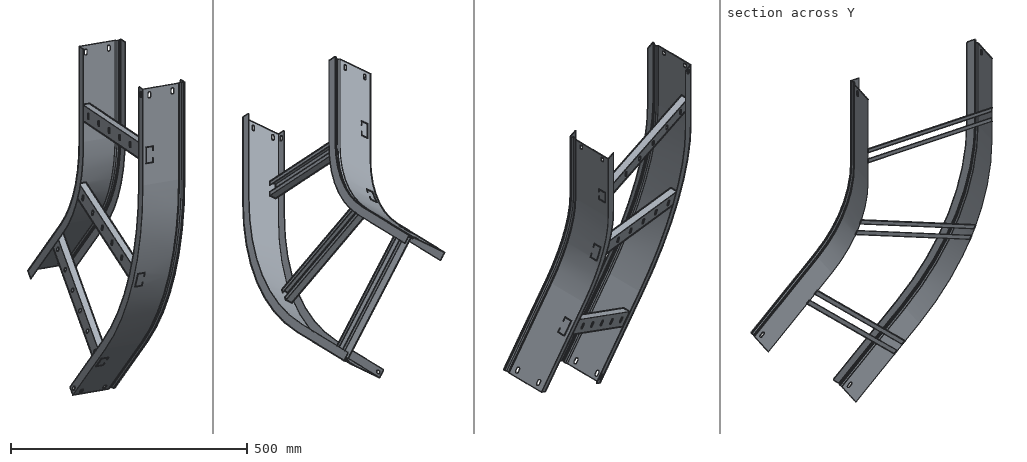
import cadquery as cq
import math

TOTAL_HEIGHT = 795.0
BEND_ANGLE = 45.0
INNER_RADIUS = 300.0
LADDER_WIDTH = 300.5
OUTER_RADIUS = INNER_RADIUS + LADDER_WIDTH
MIDDLE_RADIUS = (INNER_RADIUS + OUTER_RADIUS) / 2
SIN_BEND = math.sin(math.radians(BEND_ANGLE))
COS_BEND = math.cos(math.radians(BEND_ANGLE))
STRAIGHT_LENGTH = (TOTAL_HEIGHT - OUTER_RADIUS * SIN_BEND) / (1 + COS_BEND)

SHEET = 1.2
RAIL_HEIGHT = 100.0
FLANGE_WIDTH = 20.0
HALF_HEIGHT = RAIL_HEIGHT / 2
GROOVE_EDGE = 4.0
GROOVE_WIDTH = 10.0
GROOVE_DEPTH = 3.0
BEND_SHIFT = SHEET * math.tan(math.radians(45 / 2))
TIP_CHAMFER = 2.0

SLOT_WIDTH = 6.0
SLOT_LENGTH = 13.5
SLOT_END_DISTANCE = 15.0
SLOT_Z = STRAIGHT_LENGTH - SLOT_END_DISTANCE
WEB_SLOT_OFFSETS = (-34.0, 21.0)
FLANGE_SLOT_INSET = 9.5

RUNG_HEIGHT = 37.0
RUNG_DEPTH = 17.5
RUNG_LIP = 10.0
RUNG_FRONT = 8.0
RUNG_END_DISTANCE = 150.0
RUNG_SLOTS = 6
RUNG_SLOT_PITCH = 49.0
RUNG_SHIFT = STRAIGHT_LENGTH - RUNG_END_DISTANCE
RUNG_STATIONS = ((0, RUNG_SHIFT), (BEND_ANGLE / 2, 0), (BEND_ANGLE, -RUNG_SHIFT))


def turn(shape, angle):
    """Turn a shape about the bend axis, downward along the ladder."""
    return shape.rotate((0, 0, 0), (0, 1, 0), angle)


def rail_section(radius, inward):
    """Sheet section of a rail; inward is +1 or -1 along X, from web to flange tips."""
    groove_start = HALF_HEIGHT - GROOVE_EDGE
    groove_end = groove_start - GROOVE_WIDTH
    floor_start = groove_start - GROOVE_DEPTH
    floor_end = groove_end + GROOVE_DEPTH
    outward_side = [
        (FLANGE_WIDTH, -HALF_HEIGHT),
        (0, -HALF_HEIGHT),
        (0, groove_end),
        (GROOVE_DEPTH, floor_end),
        (GROOVE_DEPTH, floor_start),
        (0, groove_start),
        (0, HALF_HEIGHT),
        (FLANGE_WIDTH, HALF_HEIGHT),
    ]
    inward_side = [
        (FLANGE_WIDTH, HALF_HEIGHT - SHEET),
        (SHEET, HALF_HEIGHT - SHEET),
        (SHEET, groove_start + BEND_SHIFT),
        (GROOVE_DEPTH + SHEET, floor_start + BEND_SHIFT),
        (GROOVE_DEPTH + SHEET, floor_end - BEND_SHIFT),
        (SHEET, groove_end - BEND_SHIFT),
        (SHEET, SHEET - HALF_HEIGHT),
        (FLANGE_WIDTH, SHEET - HALF_HEIGHT),
    ]
    points = [(radius + inward * depth, y) for depth, y in outward_side + inward_side]
    return cq.Workplane("XY").polyline(points).close()


def web_slots(radius, z):
    """Cutters for the pair of slots through a web, long along Z."""
    return (
        cq.Workplane("YZ", origin=(radius, 0, z))
        .pushPoints([(y, 0) for y in WEB_SLOT_OFFSETS])
        .slot2D(SLOT_LENGTH, SLOT_WIDTH, 90)
        .extrude(2 * SHEET, both=True)
    )


def flange_slot(z):
    """Cutter for the slot through the -Y flange of the outer rail, long along Z."""
    return (
        cq.Workplane("XZ", origin=(OUTER_RADIUS - FLANGE_SLOT_INSET, -HALF_HEIGHT, z))
        .slot2D(SLOT_LENGTH, SLOT_WIDTH, 90)
        .extrude(2 * SHEET, both=True)
    )


def tip_corner(z):
    """Cutter for the end corners of both outer rail flanges, at the end with height z."""
    diamond = [(-TIP_CHAMFER, 0), (0, TIP_CHAMFER), (TIP_CHAMFER, 0), (0, -TIP_CHAMFER)]
    return (
        cq.Workplane("XZ", origin=(OUTER_RADIUS - FLANGE_WIDTH, 0, z))
        .polyline(diamond)
        .close()
        .extrude(RAIL_HEIGHT, both=True)
    )


def make_rail(radius, inward):
    """Straight end, bend and straight end of a rail, with its web slots."""
    upper = rail_section(radius, inward).extrude(STRAIGHT_LENGTH)
    bend = rail_section(radius, inward).revolve(BEND_ANGLE, (0, 0, 0), (0, 1, 0))
    lower = turn(rail_section(radius, inward).extrude(-STRAIGHT_LENGTH), BEND_ANGLE)
    return (
        upper.union(bend)
        .union(lower)
        .cut(web_slots(radius, SLOT_Z))
        .cut(turn(web_slots(radius, -SLOT_Z), BEND_ANGLE))
    )


def space_between_webs(curved):
    """Space up to the outward faces of both webs, in the bend or along the straight ends."""
    if curved:
        return (
            cq.Workplane("XZ")
            .circle(OUTER_RADIUS)
            .circle(INNER_RADIUS)
            .extrude(RAIL_HEIGHT, both=True)
        )
    return cq.Workplane("XY", origin=(MIDDLE_RADIUS, 0, 0)).box(
        LADDER_WIDTH, RAIL_HEIGHT, 2 * RUNG_HEIGHT
    )


def make_rung(angle, shift):
    """Slotted channel whose ends lie flush with the outward faces of both webs."""
    front = RUNG_FRONT - HALF_HEIGHT
    back = front + RUNG_DEPTH
    half = RUNG_HEIGHT / 2
    lip_end = half - RUNG_LIP
    channel = (
        cq.Workplane("YZ")
        .polyline([
            (back, lip_end),
            (back, half),
            (front, half),
            (front, -half),
            (back, -half),
            (back, -lip_end),
            (back - SHEET, -lip_end),
            (back - SHEET, SHEET - half),
            (front + SHEET, SHEET - half),
            (front + SHEET, half - SHEET),
            (back - SHEET, half - SHEET),
            (back - SHEET, lip_end),
        ])
        .close()
        .extrude(OUTER_RADIUS + SHEET)
    )
    slots = (
        cq.Workplane("XZ", origin=(MIDDLE_RADIUS, front, 0))
        .rarray(RUNG_SLOT_PITCH, 8, RUNG_SLOTS, 1)
        .slot2D(SLOT_LENGTH, SLOT_WIDTH, 90)
        .extrude(2 * SHEET, both=True)
    )
    rung = channel.cut(slots).intersect(space_between_webs(curved=shift == 0))
    return turn(rung.translate((0, 0, shift)), angle)


rungs = [make_rung(angle, shift) for angle, shift in RUNG_STATIONS]

inner_rail = make_rail(INNER_RADIUS, 1)
outer_rail = (
    make_rail(OUTER_RADIUS, -1)
    .cut(flange_slot(SLOT_Z))
    .cut(turn(flange_slot(-SLOT_Z), BEND_ANGLE))
    .cut(tip_corner(STRAIGHT_LENGTH))
    .cut(turn(tip_corner(-STRAIGHT_LENGTH), BEND_ANGLE))
)
for rung in rungs:
    inner_rail = inner_rail.cut(rung)
    outer_rail = outer_rail.cut(rung)

result = cq.Compound.makeCompound(
    [inner_rail.val(), outer_rail.val(), *[rung.val() for rung in rungs]]
)